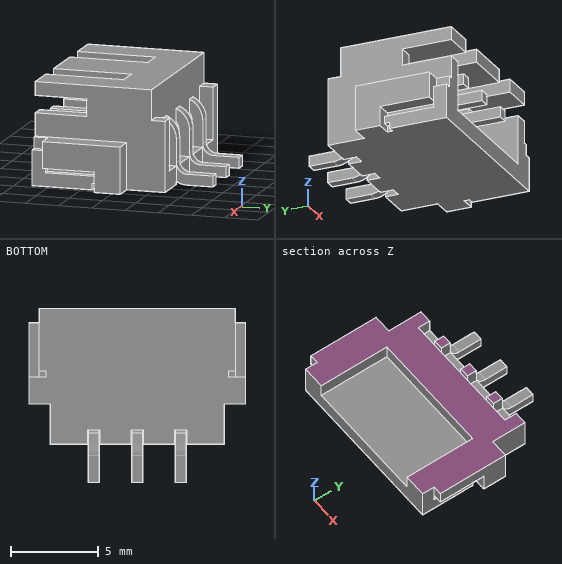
import cadquery as cq

shell_width = 10.01
shell_height = 6.0
shell_depth = 7.8
roof_depth = 7.0
ledge_height = 4.2
side_wall = 0.9
floor_thickness = 1.1
roof_thickness = 0.82
cavity_depth = 4.69

flank_width = 10.48
flank_rear = 5.5
tab_height = 2.79

roof_slot_width = 1.46
roof_slot_offset = 2.28
window_depth = 3.1
window_bottom = 4.16
rear_arm_width = 0.86
lead_notch_width = 0.68

pin_count = 3
pin_pitch = 2.5
pin_size = 0.65
pin_front = 0.22
pin_centre_height = 3.64
lead_tip = 10.0

tab_span = 12.45
tab_plate_span = 11.27
tab_plate_height = 2.12
tab_rim_height = 0.82
tab_arm_bottom = 1.21
tab_arm_front = 0.82
tab_leg_front = 3.93
tab_notch_length = 0.32
tab_notch_height = 0.39


def block(x_range, y_range, z_range):
    """Box between the given limits on each axis."""
    low, high = zip(x_range, y_range, z_range)
    size = [b - a for a, b in zip(low, high)]
    return cq.Workplane("XY").box(*size, centered=False).translate(low)


def across(width, centre=0):
    """X limits of a feature of the given width."""
    return centre - width / 2, centre + width / 2


pin_positions = [(i - (pin_count - 1) / 2) * pin_pitch for i in range(pin_count)]


def make_shell():
    shell = block(across(shell_width), (0, roof_depth), (0, shell_height))
    shell = shell.union(block(across(shell_width), (roof_depth, shell_depth), (0, ledge_height)))
    shell = shell.union(block(across(flank_width), (0, flank_rear), (0, tab_height)))

    roof_underside = shell_height - roof_thickness
    cavity_width = shell_width - 2 * side_wall
    shell = shell.cut(block(across(cavity_width), (0, cavity_depth), (floor_thickness, roof_underside)))
    shell = shell.cut(block(across(shell_width), (0, window_depth), (window_bottom, roof_underside)))
    for x in (-roof_slot_offset, roof_slot_offset):
        shell = shell.cut(block(across(roof_slot_width, x), (0, cavity_depth), (roof_underside, shell_height)))

    recess_width = shell_width - 2 * rear_arm_width
    shell = shell.cut(block(across(recess_width), (roof_depth, shell_depth), (floor_thickness, ledge_height)))
    for x in pin_positions:
        shell = shell.cut(block(across(lead_notch_width, x), (roof_depth, shell_depth), (0, floor_thickness)))
    return shell


def make_contact(x):
    """Square wire: straight pin, a bend down behind the shell and a bend out to the solder foot."""
    inner = pin_size
    outer = inner + pin_size
    pin_bottom = pin_centre_height - pin_size / 2
    pin_top = pin_bottom + pin_size
    drop_rear = shell_depth
    drop_front = drop_rear - pin_size
    profile = (
        cq.Workplane("YZ")
        .moveTo(pin_front, pin_bottom)
        .lineTo(drop_front - inner, pin_bottom)
        .radiusArc((drop_front, pin_bottom - inner), inner)
        .lineTo(drop_front, outer)
        .radiusArc((drop_front + outer, 0), -outer)
        .lineTo(lead_tip, 0)
        .lineTo(lead_tip, pin_size)
        .lineTo(drop_rear + inner, pin_size)
        .radiusArc((drop_rear, outer), inner)
        .lineTo(drop_rear, pin_top - outer)
        .radiusArc((drop_rear - outer, pin_top), -outer)
        .lineTo(pin_front, pin_top)
        .close()
    )
    return profile.extrude(pin_size / 2, both=True).translate((x, 0, 0))


def make_left_tab():
    """Upright plate against the flank, with a rear leg and an arm reaching forward from it."""
    outside = -tab_span / 2
    plate_face = -tab_plate_span / 2
    flank_face = -flank_width / 2
    full = (outside, flank_face)
    plate = (plate_face, flank_face)
    tab = block(full, (tab_leg_front, flank_rear), (0, tab_height))
    tab = tab.union(block(full, (tab_arm_front, tab_leg_front), (tab_arm_bottom, tab_height)))
    tab = tab.union(block(plate, (0, tab_arm_front), (0, tab_plate_height)))
    tab = tab.union(block(plate, (tab_arm_front, tab_leg_front), (0, tab_rim_height)))
    notch_front = tab_leg_front - tab_notch_length
    return tab.cut(block(plate, (notch_front, tab_leg_front), (0, tab_notch_height)))


left_tab = make_left_tab()
result = make_shell().union(left_tab).union(left_tab.mirror("YZ"))
for x in pin_positions:
    result = result.union(make_contact(x))